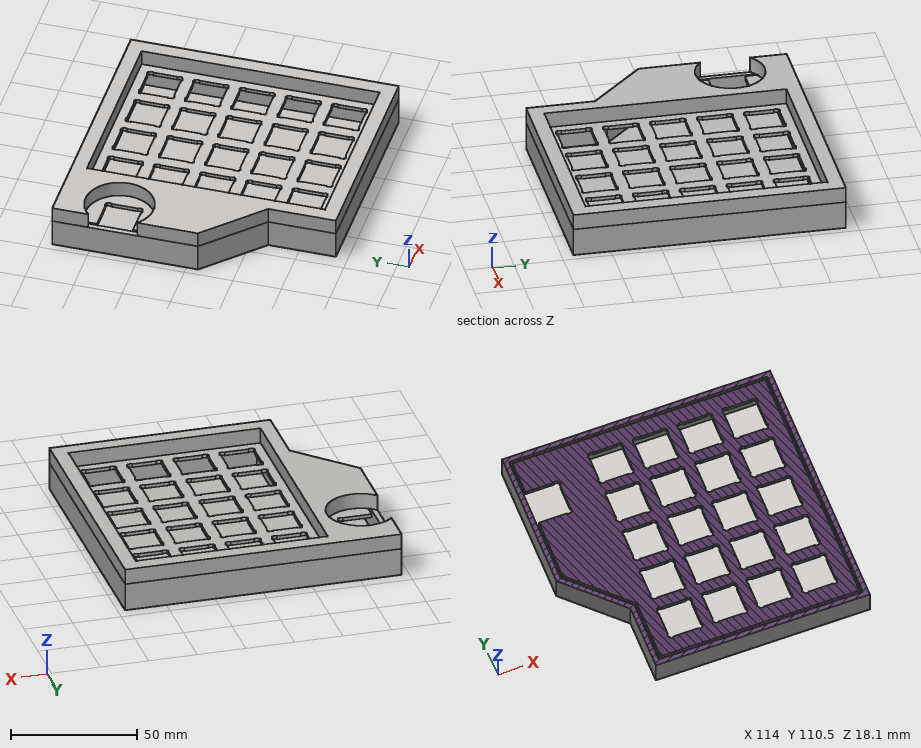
import cadquery as cq

case_length = 114.0
case_width = 110.5
step_length = 22.9
step_width = 27.9
bevel_width = 22.5

base_height = 11.6
frame_height = 6.5
plate_thickness = 1.5
floor_thickness = 3.0
plate_bottom = base_height - plate_thickness

recess_wall = 2.3
plate_gap = 0.9
plate_inset = recess_wall + plate_gap
cavity_wall = 7.9

key_columns = 4
key_rows = 5
key_pitch = 19.0
key_size = 14.0
relief_diameter = 3.0
relief_inset = 1.1
field_rim = 6.2
field_margin = 4.0
field_length = (key_columns - 1) * key_pitch + key_size + 2 * field_margin
field_width = (key_rows - 1) * key_pitch + key_size + 2 * field_margin
field_x = case_length - field_rim - field_length / 2
field_y = case_width / 2

knob_x = 9.8
knob_y = 85.5
knob_diameter = 28.0
knob_cutout_length = 17.2
knob_cutout_width = 14.8


def case_prism(bottom, height, inset=0.0, left_inset=None):
    """Block with the case outline moved inward; the left side may have its own inset."""
    if left_inset is None:
        left_inset = inset
    bevel_slope = bevel_width / step_length
    bevel_shift = inset * (1 + bevel_slope ** 2) ** 0.5
    bevel_left_y = step_width + bevel_width + bevel_shift - bevel_slope * left_inset
    step_x = step_length + inset
    bevel_right_y = step_width + bevel_shift - bevel_slope * inset
    outline = [
        (left_inset, case_width - inset),
        (left_inset, bevel_left_y),
        (step_x, bevel_right_y),
        (step_x, inset),
        (case_length - inset, inset),
        (case_length - inset, case_width - inset),
    ]
    return cq.Workplane("XY").workplane(offset=bottom).polyline(outline).close().extrude(height)


def relieved_rectangle(length, width, center_x, center_y):
    """Rectangular plate cutter with a round relief in each corner."""
    sheet = cq.Workplane("XY").workplane(offset=plate_bottom).center(center_x, center_y)
    rectangle = sheet.rect(length, width).extrude(plate_thickness)
    spacing_x = length - 2 * relief_inset
    spacing_y = width - 2 * relief_inset
    reliefs = (
        sheet.rect(spacing_x, spacing_y, forConstruction=True)
        .vertices()
        .circle(relief_diameter / 2)
        .extrude(plate_thickness)
    )
    return rectangle.union(reliefs)


def make_base():
    """Tray with a cavity and, around it, a shallow recess that holds the plate."""
    recess = case_prism(plate_bottom, plate_thickness, recess_wall)
    cavity = case_prism(
        floor_thickness, plate_bottom - floor_thickness, cavity_wall, left_inset=recess_wall
    )
    return case_prism(0, base_height).cut(recess).cut(cavity)


def make_plate():
    """Sheet flush with the top of the base, with the key cutouts and the knob cutout."""
    plate = case_prism(plate_bottom, plate_thickness, plate_inset)
    for column in range(key_columns):
        for row in range(key_rows):
            key_x = field_x + (column - (key_columns - 1) / 2) * key_pitch
            key_y = field_y + (row - (key_rows - 1) / 2) * key_pitch
            plate = plate.cut(relieved_rectangle(key_size, key_size, key_x, key_y))
    cutout_x = knob_cutout_length / 2
    return plate.cut(relieved_rectangle(knob_cutout_length, knob_cutout_width, cutout_x, knob_y))


def make_frame():
    """Cover with a window over the key field and a round well open on the left side."""
    top_of_base = cq.Workplane("XY").workplane(offset=base_height)
    window = top_of_base.center(field_x, field_y).rect(field_length, field_width).extrude(frame_height)
    knob_well = top_of_base.center(knob_x, knob_y).circle(knob_diameter / 2).extrude(frame_height)
    return case_prism(base_height, frame_height).cut(window).cut(knob_well)


base = make_base()
plate = make_plate()
frame = make_frame()

result = cq.Compound.makeCompound([base.val(), plate.val(), frame.val()])